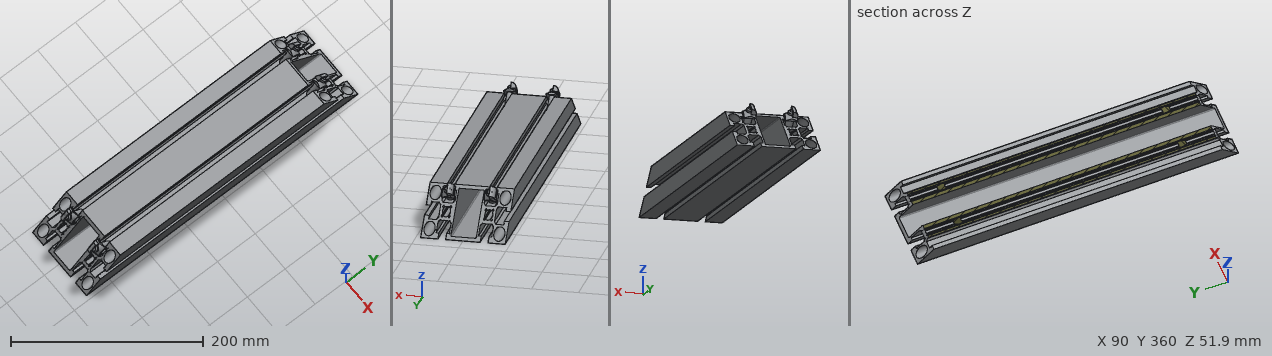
import cadquery as cq
import math

width = 90.0
height = 45.0
length = 360.0
miter_angle = 45.0
mid_z = height / 2

slot_opening = 8.2
slot_lip = 5.0
slot_inner_width = 14.0
slot_depth = 15.3
slot_corner_chamfer = 2.0
slot_x = width / 2 - height / 2

chamber_width = 27.0
chamber_wall = 3.0
chamber_corner_radius = 1.0
corner_hole_diameter = 11.7
corner_hole_inset = 7.9
core_diameter = 8.5
core_groove_width = 1.4
core_groove_span = 12.0

screw_diameter = 8.0
screw_tip_height = 13.5
screw_tip_chamfer = 1.5
screw_inner_depth = 28.2
nut_side = 13.0
nut_bottom = 4.8
nut_top = 10.0
nut_cone_start = 7.4
nose_bottom = 9.0
nose_length = 11.7
nose_radius = nose_length / 2
nose_top = 15.52

axis_end_inset = 51.1

face_z = (axis_end_inset + mid_z) / 2
face_y = length / 2 - face_z


def along_bar(sketch):
    """Extrude a section drawn in XZ over the whole length of the bar."""
    return sketch.extrude(length / 2, both=True)


def make_slot_cutter():
    """T-slot prism that opens at z = 0 and reaches up to its floor at z = slot_depth."""
    half_open = slot_opening / 2
    half_inner = slot_inner_width / 2
    right_side = [
        (half_open, 0),
        (half_open, slot_lip),
        (half_inner, slot_lip),
        (half_inner, slot_depth - slot_corner_chamfer),
        (half_inner - slot_corner_chamfer, slot_depth),
    ]
    left_side = [(-x, z) for x, z in reversed(right_side)]
    return along_bar(cq.Workplane("XZ").polyline(right_side + left_side).close())


def make_core_cutter():
    """Core hole with four diagonal grooves, centred on the Y axis."""
    core = along_bar(cq.Workplane("XZ").circle(core_diameter / 2))
    for angle in (45, 135):
        groove = along_bar(cq.Workplane("XZ").rect(core_groove_span, core_groove_width))
        core = core.union(groove.rotate((0, 0, 0), (0, 1, 0), angle))
    return core


def make_chamber_cutter():
    """Central rectangular chamber with rounded corners."""
    chamber = along_bar(cq.Workplane("XZ").center(0, mid_z).rect(chamber_width, height - 2 * chamber_wall))
    return chamber.edges("|Y").fillet(chamber_corner_radius)


def make_corner_hole_cutter():
    """Four round holes, one near each corner of the section."""
    spacing_x = width - 2 * corner_hole_inset
    spacing_z = height - 2 * corner_hole_inset
    centres = cq.Workplane("XZ").center(0, mid_z).rect(spacing_x, spacing_z, forConstruction=True).vertices()
    return along_bar(centres.circle(corner_hole_diameter / 2))


def make_profile():
    """Mitred bar with its chamber, corner holes, T-slots and core holes."""
    half = length / 2
    run = height / math.tan(math.radians(miter_angle))
    side = [(-half, 0), (half, 0), (half - run, height), (-half + run, height)]
    bar = cq.Workplane("YZ").polyline(side).close().extrude(width / 2, both=True)
    bar = bar.cut(make_chamber_cutter()).cut(make_corner_hole_cutter())

    slot = make_slot_cutter()
    top_slot = slot.rotate((0, 0, 0), (0, 1, 0), 180)
    core = make_core_cutter()
    for sign in (-1, 1):
        x = sign * slot_x
        side_slot = slot.rotate((0, 0, 0), (0, 1, 0), -sign * 90)
        bar = bar.cut(slot.translate((x, 0, 0)))
        bar = bar.cut(top_slot.translate((x, 0, height)))
        bar = bar.cut(side_slot.translate((sign * width / 2, 0, mid_z)))
        bar = bar.cut(core.translate((x, 0, mid_z)))
    return bar


def make_screw():
    """Upright screw with a chamfered tip; the mitred face is at z = 0."""
    shank = cq.Workplane("XY").workplane(offset=-screw_inner_depth).circle(screw_diameter / 2)
    screw = shank.extrude(screw_inner_depth + screw_tip_height)
    return screw.faces(">Z").chamfer(screw_tip_chamfer)


def make_nut():
    """Upright square nut with a conical top and a quarter-round nose over its -X half."""
    base = cq.Workplane("XY").workplane(offset=nut_bottom).rect(nut_side, nut_side)
    base = base.extrude(nut_top - nut_bottom)

    apex = nut_cone_start + nut_side / 2
    cone_radius = apex - nut_bottom
    cone = cq.Workplane("XZ").moveTo(0, nut_bottom).lineTo(cone_radius, nut_bottom).lineTo(0, apex).close()
    base = base.intersect(cone.revolve(360, (0, 0, 0), (0, 1, 0)))

    arc_centre_z = nose_top - nose_radius
    diagonal = nose_radius * math.sqrt(0.5)
    nose = (
        cq.Workplane("XZ")
        .moveTo(0, nose_bottom)
        .lineTo(-nose_radius, nose_bottom)
        .lineTo(-nose_radius, arc_centre_z)
        .threePointArc((-diagonal, arc_centre_z + diagonal), (0, nose_top))
        .close()
        .extrude(nose_length / 2, both=True)
    )
    return base.union(nose).cut(make_screw())


def place(body, x, end):
    """Tilt an upright fastener body onto the mitred face at the -Y end (-1) or the +Y end (+1)."""
    tilted = body.rotate((0, 0, 0), (1, 0, 0), -end * miter_angle)
    return tilted.translate((x, end * face_y, face_z))


fastener_places = [(x, end) for x in (-slot_x, slot_x) for end in (-1, 1)]
screws = [place(make_screw(), x, end) for x, end in fastener_places]
nuts = [place(make_nut(), x, end) for x, end in fastener_places]

profile = make_profile()
for screw in screws:
    profile = profile.cut(screw)

bodies = [profile, *screws, *nuts]
result = cq.Compound.makeCompound([body.solids().val() for body in bodies])